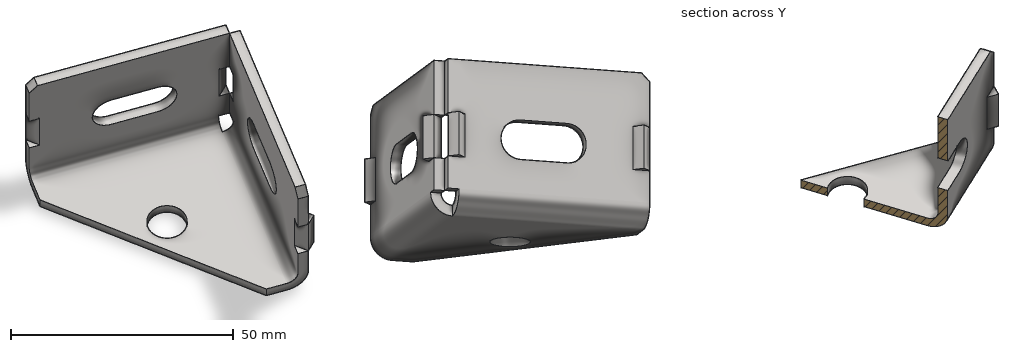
import cadquery as cq

overall = 52.0
height = 35.0
thickness = 2.5
inner_bend_radius = 2.6
tooth_height = 2.0
tab_width = 10.0
corner_chamfer = 2.0
slot_length = 20.0
slot_width = 9.1
hole_diameter = 9.1
floor_edge = 10.0

leg = overall - tooth_height
bend_radius = inner_bend_radius + thickness
mid_leg = leg / 2
mid_height = height / 2
cutter_length = 4 * thickness


def make_floor():
    """Flat floor with a diagonal free edge and a round hole."""
    outline = [
        (bend_radius, -bend_radius),
        (leg, -bend_radius),
        (leg, -floor_edge),
        (floor_edge, -leg),
        (bend_radius, -leg),
    ]
    plate = cq.Workplane("XY").polyline(outline).close().extrude(thickness)
    hole = cq.Workplane("XY").center(mid_leg, -mid_leg).circle(hole_diameter / 2).extrude(thickness)
    return plate.cut(hole)


def make_bend():
    """Quarter-round bend joining the floor to the wall at Y = 0."""
    diagonal = 0.5 ** 0.5
    outer_mid = bend_radius * diagonal
    inner_mid = inner_bend_radius * diagonal
    return (
        cq.Workplane("YZ", origin=(bend_radius, 0, 0))
        .moveTo(-bend_radius, 0)
        .threePointArc((-bend_radius + outer_mid, bend_radius - outer_mid), (0, bend_radius))
        .lineTo(-thickness, bend_radius)
        .threePointArc((-bend_radius + inner_mid, bend_radius - inner_mid), (-bend_radius, thickness))
        .close()
        .extrude(leg - bend_radius)
    )


def make_tab_band():
    """Wall stretch at tab height: 45 degree teeth outside, matching bevels inside."""
    outline = [
        (thickness, 0),
        (thickness + tooth_height, tooth_height),
        (thickness + 2 * tooth_height, 0),
        (leg - 2 * tooth_height, 0),
        (leg - tooth_height, tooth_height),
        (leg, 0),
        (leg - thickness, -thickness),
        (2 * thickness, -thickness),
    ]
    return (
        cq.Workplane("XY", origin=(0, 0, mid_height - tab_width / 2))
        .polyline(outline)
        .close()
        .extrude(tab_width)
    )


def make_wall():
    """Slotted upright wall with its outer face at Y = 0."""
    outline = [
        (thickness, bend_radius),
        (leg, bend_radius),
        (leg, height - corner_chamfer),
        (leg - corner_chamfer, height),
        (thickness, height),
    ]
    plate = cq.Workplane("XZ").polyline(outline).close().extrude(thickness)
    band_space = (
        cq.Workplane("XY")
        .box(2 * overall, cutter_length, tab_width)
        .translate((0, 0, mid_height))
    )
    slot = (
        cq.Workplane("XZ")
        .center(mid_leg, mid_height)
        .slot2D(slot_length, slot_width)
        .extrude(cutter_length / 2, both=True)
    )
    return plate.cut(band_space).union(make_tab_band()).cut(slot)


flange = make_wall().union(make_bend())
mirrored_flange = flange.mirror(cq.Vector(1, 1, 0))
result = make_floor().union(flange).union(mirrored_flange)